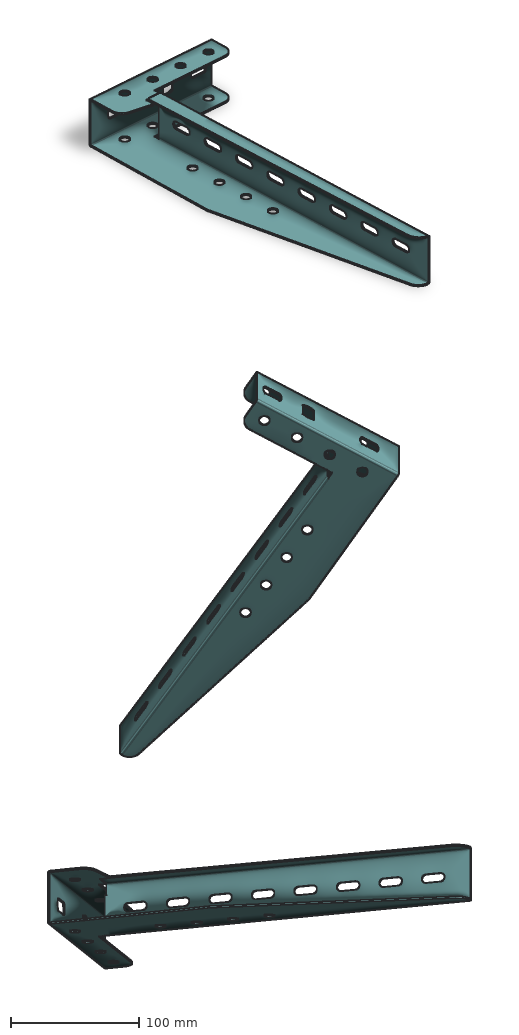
import cadquery as cq
import math

thickness = 1.5
bend_radius = 2.0

base_length = 130.0
base_height = 43.5
base_flange_width = 26.3
base_corner_radius = 9.0
base_shoulder_y = 45.2

tab_tip_x = 40.5
tab_tip_y = 30.5
tab_corner_radius = 10.5
tab_side_angle = 11.0

arm_start_x = 31.0
arm_end_x = 332.3
arm_back_y = 47.0
arm_height = 44.2
arm_angle = 1.0
arm_flange_start_x = 32.2
arm_flange_front_y = 32.0
arm_flange_front_angle = 1.6
arm_flange_chamfer = 1.3
arm_flange_tip_radius = 13.3
arm_web_step_z = 33.2

plate_straight_length = 134.3
plate_taper_angle = 11.7
plate_tip_radius = 10.5

hole_diameter = 8.3
hole_pitch = 30.0
hole_count = 4
base_hole_x = 13.3
base_first_hole_y = 25.5
arm_first_hole_x = 81.0
arm_hole_setback = 13.3

arm_slot_length = 18.5
arm_slot_width = 7.0
arm_slot_count = 8
arm_first_slot_x = 56.0
arm_last_slot_x = 301.5
arm_slot_pitch = (arm_last_slot_x - arm_first_slot_x) / (arm_slot_count - 1)

mount_hole_diameter = 17.0
mount_hole_width = 10.3
mount_hole_places = [(27.2, False), (83.0, True), (116.0, False)]

slot_z = base_height / 2


def rise(run, angle):
    """Sideways travel of a line at the given angle over a run."""
    return run * math.tan(math.radians(angle))


def arm_back_at(x):
    """Y of the arm's outer web face at a given X."""
    return arm_back_y + rise(x - arm_start_x, arm_angle)


def channel(length, height, depth):
    """C channel along +X: web on Y = 0, flanges reaching to Y = -depth."""
    outer = (
        cq.Workplane("XY")
        .box(length, depth, height, centered=False)
        .translate((0, -depth, 0))
        .edges("|X and >Y")
        .fillet(bend_radius)
    )
    inner = (
        cq.Workplane("XY")
        .box(length, depth, height - 2 * thickness, centered=False)
        .translate((0, -depth - thickness, thickness))
        .edges("|X and >Y")
        .fillet(bend_radius - thickness)
    )
    return outer.cut(inner)


def prism(points, height):
    return cq.Workplane("XY").polyline(points).close().extrude(height)


def round_corner(body, point, radius):
    """Round the upright edge of a prism at a plan point."""
    x, y = point
    reach = thickness
    corner = cq.selectors.BoxSelector((x - reach, y - reach, -reach), (x + reach, y + reach, base_length))
    return body.edges("|Z").edges(corner).fillet(radius)


def make_base():
    outer_corner = (base_flange_width, base_length)
    tab_corner = (tab_tip_x - rise(tab_tip_y, tab_side_angle), 0)
    outline = prism(
        [
            (0, 0),
            tab_corner,
            (tab_tip_x, tab_tip_y),
            (arm_flange_start_x, tab_tip_y),
            (arm_flange_start_x, base_shoulder_y),
            (base_flange_width, base_shoulder_y),
            outer_corner,
            (0, base_length),
        ],
        base_height,
    )
    outline = round_corner(outline, outer_corner, base_corner_radius)
    outline = round_corner(outline, tab_corner, tab_corner_radius)
    body = channel(base_length, base_height, tab_tip_x)
    return body.rotate((0, 0, 0), (0, 0, 1), 90).intersect(outline)


def make_arm():
    run = arm_end_x - arm_flange_start_x
    tip = (arm_end_x, arm_flange_front_y + rise(run, arm_flange_front_angle))
    outline = prism(
        [
            (arm_start_x, arm_flange_front_y),
            tip,
            (arm_end_x, base_length),
            (arm_start_x, base_length),
        ],
        arm_height,
    )
    outline = round_corner(outline, tip, arm_flange_tip_radius)
    step_height = arm_height - arm_web_step_z
    step = (
        cq.Workplane("XY", origin=(0, 0, arm_web_step_z))
        .box(arm_flange_start_x, base_length, step_height, centered=False)
    )
    chamfer = prism(
        [
            (arm_flange_start_x, arm_flange_front_y),
            (arm_flange_start_x + arm_flange_chamfer, arm_flange_front_y),
            (arm_flange_start_x, arm_flange_front_y + arm_flange_chamfer),
        ],
        arm_height,
    )
    overlength = 2 * arm_height
    body = (
        channel(arm_end_x + overlength, arm_height, arm_height)
        .translate((-arm_height, 0, 0))
        .rotate((0, 0, 0), (0, 0, 1), arm_angle)
        .translate((arm_start_x, arm_back_y, 0))
    )
    return body.intersect(outline).cut(step).cut(chamfer)


def make_plate():
    """Flat bottom shared by base and arm, set in from the bends along both webs."""
    outer_corner = (base_flange_width, base_length)
    tip = (arm_end_x, rise(arm_end_x - plate_straight_length, plate_taper_angle))
    plate = prism(
        [
            (bend_radius, 0),
            (plate_straight_length, 0),
            tip,
            (arm_end_x, arm_back_at(arm_end_x) - bend_radius),
            (arm_start_x, arm_back_y - bend_radius),
            (base_flange_width, base_shoulder_y),
            outer_corner,
            (bend_radius, base_length),
        ],
        thickness,
    )
    plate = round_corner(plate, outer_corner, base_corner_radius)
    return round_corner(plate, tip, plate_tip_radius)


def round_holes():
    base_points = [(base_hole_x, base_first_hole_y + i * hole_pitch) for i in range(hole_count)]
    base_holes = cq.Workplane("XY").pushPoints(base_points).circle(hole_diameter / 2).extrude(base_height)
    arm_xs = [arm_first_hole_x + i * hole_pitch for i in range(hole_count)]
    arm_points = [(x, arm_back_at(x) - arm_hole_setback) for x in arm_xs]
    arm_holes = cq.Workplane("XY").pushPoints(arm_points).circle(hole_diameter / 2).extrude(thickness)
    return base_holes.union(arm_holes)


def arm_slots():
    points = [(arm_first_slot_x + i * arm_slot_pitch, slot_z) for i in range(arm_slot_count)]
    return (
        cq.Workplane("XZ")
        .pushPoints(points)
        .slot2D(arm_slot_length, arm_slot_width)
        .extrude(-base_length)
    )


def mount_hole(y, upright):
    """Round hole through the base web, cut flat on two opposite sides."""
    hole = cq.Workplane("YZ").circle(mount_hole_diameter / 2).extrude(bend_radius)
    flats = cq.Workplane("YZ").rect(mount_hole_diameter, mount_hole_width).extrude(bend_radius)
    hole = hole.intersect(flats)
    if upright:
        hole = hole.rotate((0, 0, 0), (1, 0, 0), 90)
    return hole.translate((0, y, slot_z))


result = make_base().union(make_arm()).union(make_plate())
result = result.cut(round_holes()).cut(arm_slots())
for hole_y, is_upright in mount_hole_places:
    result = result.cut(mount_hole(hole_y, is_upright))